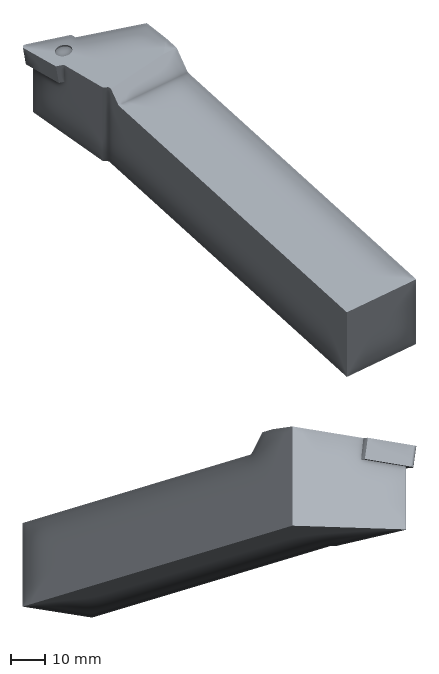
import cadquery as cq
import math

TOOL_LENGTH = 151.2
SHANK_SIZE = 25.0
HEAD_HEIGHT = 30.5
CREST_X = 32.3
HEAD_BACK_X = 17.5
HEAD_TIP = (2.0, -5.1)
HEAD_TIP_RADIUS = 0.38
CHEEK_END = (31.9, -1.4)
CHEEK_STEP = 1.2
CHEEK_RADIUS = 0.8

RAKE_RISE_X = 0.095
RAKE_RISE_Y = 0.1

INSERT_CENTER = (10.3, 0.3)
RAKE_HEIGHT = 26.5
INSCRIBED_DIAMETER = 12.7
INSERT_THICKNESS = 6.3
INSERT_ANGLE = 55.0
EDGE_DIRECTION = 8.0
NOSE_RADIUS = 1.0
HOLE_DIAMETER = 5.1
HOLE_DEPTH = 0.6


def rake_plane():
    """Plane through the insert center, its x direction along the front cutting edge."""
    edge_x = math.cos(math.radians(EDGE_DIRECTION))
    edge_y = math.sin(math.radians(EDGE_DIRECTION))
    edge_z = RAKE_RISE_X * edge_x + RAKE_RISE_Y * edge_y
    return cq.Plane(
        origin=(*INSERT_CENTER, RAKE_HEIGHT),
        xDir=(edge_x, edge_y, edge_z),
        normal=(-RAKE_RISE_X, -RAKE_RISE_Y, 1),
    )


def make_insert_blank():
    """Rhombic prism below the rake plane, with its two acute corners rounded."""
    side = INSCRIBED_DIAMETER / math.sin(math.radians(INSERT_ANGLE))
    half_height = INSCRIBED_DIAMETER / 2
    slant = half_height / math.tan(math.radians(INSERT_ANGLE))
    front_left = (-side / 2 - slant, -half_height)
    front_right = (side / 2 - slant, -half_height)
    back_right = (side / 2 + slant, half_height)
    back_left = (slant - side / 2, half_height)
    blank = (
        cq.Workplane(rake_plane())
        .polyline([front_left, front_right, back_right, back_left])
        .close()
        .extrude(-INSERT_THICKNESS)
    )
    long_diagonal = rake_plane().toWorldCoords(back_right) - rake_plane().toWorldCoords(front_left)
    upright = blank.edges(cq.selectors.ParallelDirSelector(rake_plane().zDir))
    acute_corners = upright.edges(cq.selectors.DirectionMinMaxSelector(long_diagonal, True)).vals()
    acute_corners += upright.edges(cq.selectors.DirectionMinMaxSelector(long_diagonal, False)).vals()
    return blank.newObject(acute_corners).fillet(NOSE_RADIUS)


def make_insert():
    """Insert blank with a shallow round recess at its center."""
    recess = cq.Workplane(rake_plane()).circle(HOLE_DIAMETER / 2).extrude(-HOLE_DEPTH)
    return make_insert_blank().cut(recess)


def make_holder():
    """Shank and raised head, trimmed to the rake plane and pocketed for the insert."""
    cheek_foot_x = CHEEK_END[0] + CHEEK_STEP
    body = (
        cq.Workplane("XY")
        .moveTo(TOOL_LENGTH, SHANK_SIZE)
        .lineTo(HEAD_BACK_X, SHANK_SIZE)
        .lineTo(*HEAD_TIP)
        .lineTo(*CHEEK_END)
        .lineTo(cheek_foot_x, 0)
        .lineTo(TOOL_LENGTH, 0)
        .close()
        .extrude(HEAD_HEIGHT)
        .edges(cq.selectors.NearestToPointSelector((*HEAD_TIP, HEAD_HEIGHT / 2)))
        .fillet(HEAD_TIP_RADIUS)
        .edges(cq.selectors.NearestToPointSelector((cheek_foot_x, 0, HEAD_HEIGHT / 2)))
        .fillet(CHEEK_RADIUS)
    )
    ramp_end_x = CREST_X + HEAD_HEIGHT - SHANK_SIZE
    above_shank = (
        cq.Workplane("XZ")
        .polyline([
            (CREST_X, HEAD_HEIGHT),
            (ramp_end_x, SHANK_SIZE),
            (TOOL_LENGTH, SHANK_SIZE),
            (TOOL_LENGTH, HEAD_HEIGHT),
        ])
        .close()
        .extrude(TOOL_LENGTH, both=True)
    )
    above_rake = cq.Workplane(rake_plane()).rect(2 * TOOL_LENGTH, 2 * TOOL_LENGTH).extrude(HEAD_HEIGHT)
    return body.cut(above_shank).cut(above_rake).cut(make_insert_blank())


holder = make_holder()
insert = make_insert()
result = cq.Compound.makeCompound([holder.val(), insert.val()])